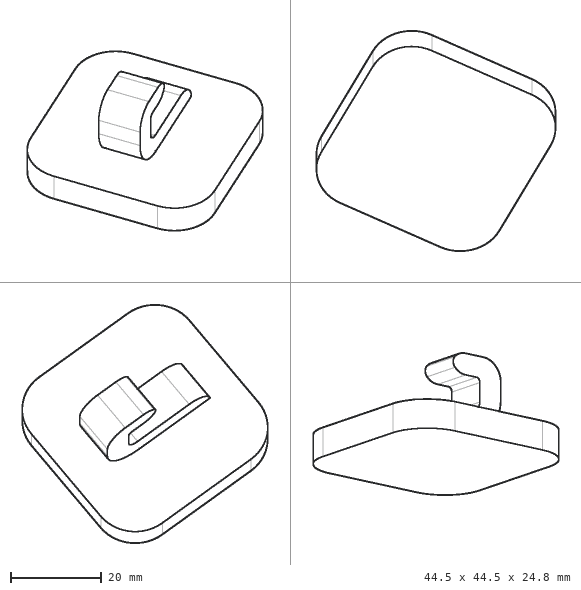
import cadquery as cq
import math

plate_side = 44.5
plate_height = 6.75
plate_corner_radius = 9.75

hook_width = 10.0
hook_offset = 0.05
hook_reach = 14.5
hook_length = 28.9
hook_height = 18.0
arm_thickness = 5.0
post_thickness = 6.0

heel_radius = 9.0
crown_radius = 5.0
inner_heel_radius = 2.5
inner_crown_radius = 1.0
tail_run = 5.9

nose_setback = 10.15
shoulder_radius = 4.0
shoulder_angle = math.radians(47.0)


def make_plate():
    plate = cq.Workplane("XY").box(plate_side, plate_side, plate_height, centered=(True, True, False))
    return plate.edges("|Z").fillet(plate_corner_radius)


def make_hook():
    front = -hook_reach
    back = front + hook_length
    post_inner = front + post_thickness
    bottom = plate_height
    foot_top = bottom + arm_thickness
    top = bottom + hook_height
    arm_bottom = top - arm_thickness
    nose_start = front + nose_setback
    shoulder_run = shoulder_radius * math.sin(shoulder_angle)
    shoulder_drop = shoulder_radius * (1 - math.cos(shoulder_angle))
    shoulder_end = nose_start + shoulder_run

    profile = (
        cq.Workplane("YZ", origin=(hook_offset - hook_width / 2, 0, 0))
        .moveTo(back, bottom)
        .lineTo(front + heel_radius, bottom)
        .tangentArcPoint((front, bottom + heel_radius), relative=False)
        .lineTo(front, top - crown_radius)
        .tangentArcPoint((front + crown_radius, top), relative=False)
        .lineTo(nose_start, top)
        .tangentArcPoint((shoulder_end, top - shoulder_drop), relative=False)
        .tangentArcPoint((shoulder_end, arm_bottom + shoulder_drop), relative=False)
        .tangentArcPoint((nose_start, arm_bottom), relative=False)
        .lineTo(post_inner + inner_crown_radius, arm_bottom)
        .tangentArcPoint((post_inner, arm_bottom - inner_crown_radius), relative=False)
        .lineTo(post_inner, foot_top + inner_heel_radius)
        .tangentArcPoint((post_inner + inner_heel_radius, foot_top), relative=False)
        .lineTo(back - tail_run, foot_top)
        .tangentArcPoint((back, bottom), relative=False)
        .close()
    )
    return profile.extrude(hook_width)


result = make_plate().union(make_hook())